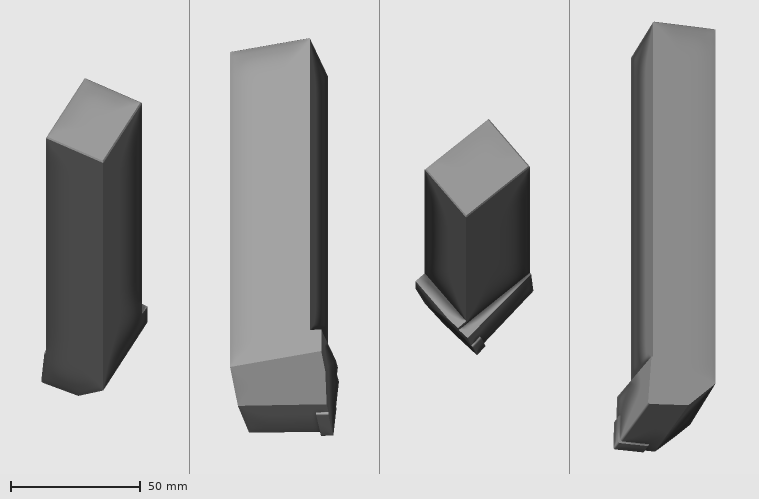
import cadquery as cq
import math

shank_width = 25.0
shank_depth = 32.0
tool_top = 170
shank_base = 23.8
top_chamfer = 0.5

head_back = 36.5
head_left = -10.2
side_ledge_front = 25.2
side_ledge_back = 24.1
back_ledge_inner = 28.2
back_ledge_outer = 27.4
corner_cut_height = 17

tip_x = -7.0
tip_y = 32.1
tip_z = -0.07
rake_slope_x = 0.12
rake_slope_z = 0.11
insert_edge = 13.0
insert_thickness = 4.8
nose_radius = 0.7
head_nose_radius = 0.8
lower_edge_angle = 5
upper_edge_angle = 86
overhang = 1.0

reach = 102
rake_plane = cq.Plane(
    origin=(tip_x, tip_y, tip_z),
    xDir=(1, rake_slope_x, 0),
    normal=(rake_slope_x, -1, rake_slope_z),
)


def along(angle, length):
    """Offset of a given length at an angle in the rake plane."""
    return (length * math.cos(math.radians(angle)), length * math.sin(math.radians(angle)))


def rhombus(corner, edge, thickness, radius):
    """Rhombic plate with rounded corners, from the rake plane towards the front."""
    lower = along(lower_edge_angle, edge)
    upper = along(upper_edge_angle, edge)
    x, y = corner
    points = [
        (x, y),
        (x + lower[0], y + lower[1]),
        (x + lower[0] + upper[0], y + lower[1] + upper[1]),
        (x + upper[0], y + upper[1]),
    ]
    plate = cq.Workplane(rake_plane).polyline(points).close().extrude(thickness)
    return plate.edges(cq.selectors.ParallelDirSelector(rake_plane.zDir)).fillet(radius)


def make_insert():
    return rhombus((0, 0), insert_edge, insert_thickness, nose_radius)


def make_shank():
    shank = cq.Workplane("XY", origin=(0, 0, shank_base)).box(
        shank_width, shank_depth, tool_top - shank_base, centered=False
    )
    return shank.faces(">Z").edges().chamfer(top_chamfer)


def make_head():
    core = (
        cq.Workplane("YZ")
        .polyline([(0, 0), (head_back, 0), (head_back, back_ledge_outer),
                   (shank_depth, back_ledge_inner), (0, back_ledge_inner)])
        .close()
        .extrude(shank_width)
    )
    widening = (
        cq.Workplane("YZ")
        .polyline([(0, 0), (head_back, 0), (head_back, side_ledge_back), (0, side_ledge_front)])
        .close()
        .extrude(head_left)
    )
    faces = rhombus((overhang, overhang), reach, reach, head_nose_radius)
    corner = (
        cq.Workplane("XZ")
        .polyline([(shank_width, corner_cut_height), (shank_width, 0),
                   (shank_width - corner_cut_height, 0)])
        .close()
        .extrude(-head_back)
    )
    return core.union(widening).intersect(faces).cut(corner)


insert = make_insert()
holder = make_shank().union(make_head()).cut(insert)

result = cq.Compound.makeCompound([holder.val(), insert.val()])